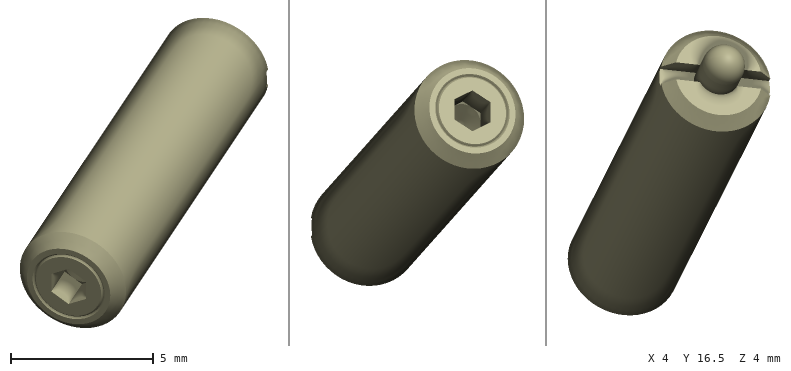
import cadquery as cq
import math

total_length = 16.5
body_radius = 4.0 / 2
pin_radius = 1.5 / 2
pin_protrusion = 2 * pin_radius
body_length = total_length - pin_protrusion
body_chamfer = 0.43

slot_width = 0.68
slot_depth = 0.61

plug_radius = 2.57 / 2
groove_half_width = 0.07
groove_depth = 0.07

socket_corner_diameter = 1.5
socket_flat_radius = socket_corner_diameter / 2 * math.cos(math.pi / 6)
socket_depth = 1.32
cone_depth = 0.4

front_y = -total_length / 2
tip_y = total_length / 2
shoulder_y = front_y + body_length


def revolve_about_y(profile):
    return profile.close().revolve(360, (0, 0, 0), (0, 1, 0))


def make_body():
    """Cylinder chamfered at both ends, with a slot cut across the pin end."""
    cylinder = cq.Workplane("XZ", origin=(0, front_y, 0)).circle(body_radius).extrude(-body_length)
    body = cylinder.faces("<Y or >Y").chamfer(body_chamfer)
    slot = cq.Workplane("XY").box(2 * body_radius, 2 * slot_depth, slot_width)
    return body.cut(slot.translate((0, shoulder_y, 0)))


def make_pin():
    """Round pin with a hemispherical tip, rooted at the slot floor."""
    root_y = shoulder_y - slot_depth
    dome_y = tip_y - pin_radius
    dome_mid = pin_radius * math.sqrt(0.5)
    return revolve_about_y(
        cq.Workplane("XY")
        .moveTo(0, root_y)
        .lineTo(pin_radius, root_y)
        .lineTo(pin_radius, dome_y)
        .threePointArc((dome_mid, dome_y + dome_mid), (0, tip_y))
    )


def make_seam_groove():
    """Ring with a V section, cut into the socket end."""
    return revolve_about_y(
        cq.Workplane("XY")
        .moveTo(plug_radius - groove_half_width, front_y)
        .lineTo(plug_radius + groove_half_width, front_y)
        .lineTo(plug_radius, front_y + groove_depth)
    )


def make_socket():
    """Hexagonal prism with corners on the Z axis, plus the cone beyond its floor."""
    prism = (
        cq.Workplane("XZ", origin=(0, front_y, 0))
        .transformed(rotate=(0, 0, 90))
        .polygon(6, socket_corner_diameter)
        .extrude(-socket_depth)
    )
    floor_y = front_y + socket_depth
    cone = revolve_about_y(
        cq.Workplane("XY")
        .moveTo(0, floor_y)
        .lineTo(socket_flat_radius, floor_y)
        .lineTo(0, floor_y + cone_depth)
    )
    return prism.union(cone)


result = make_body().union(make_pin()).cut(make_seam_groove()).cut(make_socket())